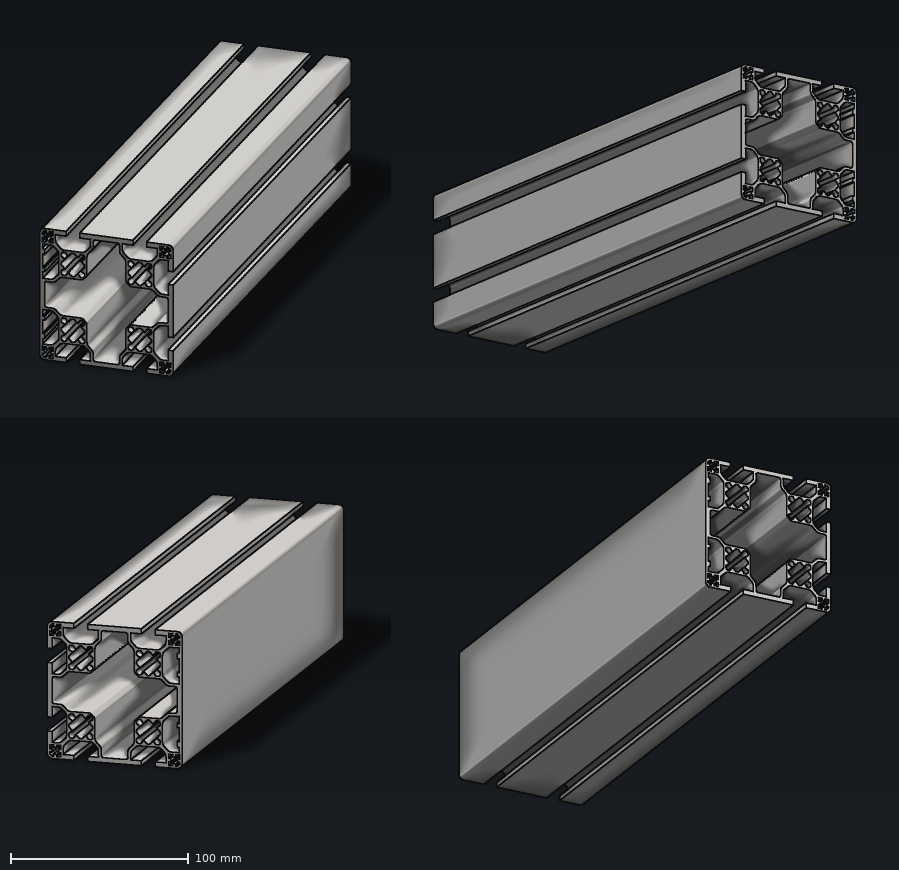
import cadquery as cq
import math

length = 300.0
width = 80.0
half = width / 2
corner_radius = 3.0

cell = width / 4
flange = 3.0
bend_radius = 3.5

slot_opening = 8.0
slot_half = 10.5
slot_chamfer = 4.0

arm_wall = 1.65
brace_wall = 1.95
web_root_radius = 1.5

core_half = 8.5
core_wall = 1.35
core_chamfer = 2.85
core_radius = 1.8
bore_half = core_half - core_wall
bore_corner_radius = 1.5
tooth_tip = 3.0
tooth_tip_height = 4.8
tooth_inner_foot = 0.5
tooth_outer_foot = 4.5
tooth_foot_radius = 0.5

channel_wall = 1.5
channel_half = (half - cell - slot_half - 2 * channel_wall) / 2
channel_centre = half - channel_wall - channel_half
channel_chamfer = 1.5
rib_height = 1.2
rib_half = 1.05

cover = 1.8
outer_lip = 2.7
outer_lip_slope = 1.2
inner_lip = 2.5


def turn(point, quarter_turns):
    """Rotate a section point about the profile axis by quarter turns."""
    angle = math.radians(90 * quarter_turns)
    x, z = point
    return (x * math.cos(angle) - z * math.sin(angle), x * math.sin(angle) + z * math.cos(angle))


def shifted(points, centre):
    """Section points moved from the profile axis to the given centre."""
    return [(centre[0] + x, centre[1] + z) for x, z in points]


def ring(right_half):
    """Points of half an upper side, mirrored and repeated on all four sides."""
    side = [(-x, z) for x, z in reversed(right_half)] + right_half
    return [turn(point, -quarter) for quarter in range(4) for point in side]


def square(size_half):
    """Corner points of a square around the profile axis."""
    return [turn((size_half, size_half), -quarter) for quarter in range(4)]


def prism(points):
    """Full-length bar with the given section outline."""
    return cq.Workplane("XZ").polyline(points).close().extrude(length / 2, both=True)


def long_edges(body, points):
    """The lengthwise edges of a bar at the given section points."""
    candidates = body.edges("|Y")
    found = [candidates.edges(cq.NearestToPointSelector((x, 0, z))).val() for x, z in points]
    return body.newObject(found)


def rounded(body, points, radius):
    """Bar with the lengthwise edges at the given section points rounded."""
    return long_edges(body, points).fillet(radius)


def slot_floor(side):
    """Chamfered slot floor in the upper face, on the given side (-1 or 1) of the mid plane."""
    floor = cell + core_half
    left = side * cell - slot_half
    right = side * cell + slot_half
    return [
        (left, floor + slot_chamfer),
        (left + slot_chamfer, floor),
        (right - slot_chamfer, floor),
        (right, floor + slot_chamfer),
    ]


def slot(side, quarter, ceiling):
    """Slot with the given ceiling outline, its floor bends rounded."""
    floor = [turn(point, quarter) for point in slot_floor(side)]
    body = prism(floor + [turn(point, quarter) for point in ceiling])
    return rounded(body, floor, bend_radius)


def open_slot(side, quarter):
    """T-slot through the flange."""
    roof = half - flange
    centre = side * cell
    left = centre - slot_opening / 2
    right = centre + slot_opening / 2
    ceiling = [
        (centre + slot_half, roof),
        (right, roof),
        (right, half),
        (left, half),
        (left, roof),
        (centre - slot_half, roof),
    ]
    return slot(side, quarter, ceiling)


def closed_slot(side, quarter):
    """Slot closed by a thin skin, with a lip at each edge of the missing opening."""
    roof = half - cover
    crest = half - flange
    outer = slot_opening / 2
    inner = -slot_opening / 2
    lips = [
        (slot_half, roof),
        (outer + outer_lip + outer_lip_slope, roof),
        (outer + outer_lip, crest),
        (outer, crest),
        (outer, roof),
        (inner, roof),
        (inner, crest),
        (inner - inner_lip, crest),
        (inner - inner_lip, roof),
        (-slot_half, roof),
    ]
    ceiling = [(side * (cell + x), z) for x, z in lips]
    if side < 0:
        ceiling.reverse()
    return slot(side, quarter, ceiling)


def central_void():
    """Cross-shaped cavity between the four cores."""
    arm_half = cell - slot_half - arm_wall
    core_face = cell - core_half
    web_sum = 2 * cell - slot_half + slot_chamfer + core_half - brace_wall * math.sqrt(2)
    web_root = [(arm_half, half - flange)]
    web_bends = [
        (arm_half, web_sum - arm_half),
        (core_face, web_sum - core_face),
    ]
    core_bend = [(core_face, core_face + core_chamfer)]
    body = prism(ring(web_root + web_bends + core_bend))
    body = rounded(body, ring(web_root), web_root_radius)
    body = rounded(body, ring(web_bends), bend_radius)
    return rounded(body, ring(core_bend), core_radius)


def core_bore(centre):
    """Square bore with two pointed teeth on each side."""
    feet = [(tooth_inner_foot, bore_half), (tooth_outer_foot, bore_half)]
    teeth = [feet[0], (tooth_tip, tooth_tip_height), feet[1]]
    space = prism(shifted(square(bore_half), centre))
    space = rounded(space, shifted(square(bore_half), centre), bore_corner_radius)
    for quarter in range(4):
        for mirror in (-1, 1):
            tooth = [turn((mirror * x, z), quarter) for x, z in teeth]
            space = space.cut(prism(shifted(tooth, centre)))
    return rounded(space, shifted(ring(feet), centre), tooth_foot_radius)


def screw_channel(sign_x, sign_z):
    """Small square channel with one flat rib on each side."""
    centre = (sign_x * channel_centre, sign_z * channel_centre)
    outer_corner = (sign_x * channel_half, sign_z * channel_half)
    space = prism(shifted(square(channel_half), centre))
    space = long_edges(space, shifted([outer_corner], centre)).chamfer(channel_chamfer)
    crest = channel_half - rib_height
    rib = [(-rib_half, channel_half), (-rib_half, crest), (rib_half, crest), (rib_half, channel_half)]
    for quarter in range(4):
        turned_rib = [turn(point, quarter) for point in rib]
        space = space.cut(prism(shifted(turned_rib, centre)))
    return space


result = cq.Workplane("XY").box(width, length, width).edges("|Y").fillet(corner_radius)
result = result.cut(central_void())

for sign_x in (-1, 1):
    for sign_z in (-1, 1):
        result = result.cut(core_bore((sign_x * cell, sign_z * cell)))
        result = result.cut(screw_channel(sign_x, sign_z))

for face_side in (-1, 1):
    for face in (0, 2, 3):
        result = result.cut(open_slot(face_side, face))
    result = result.cut(closed_slot(face_side, 1))